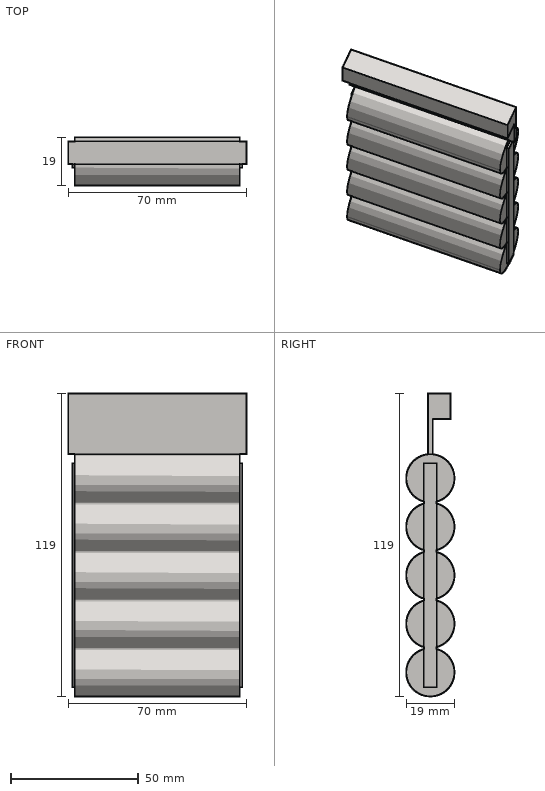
import cadquery as cq

roller_count = 5
roller_diameter = 19.0
roller_length = 64.8
stack_height = roller_count * roller_diameter

strap_width = 5.0
strap_height = 88.0
strap_thickness = 1.0

total_height = 119.0
bracket_length = 70.0
web_thickness = 2.0
head_depth = 8.9
head_height = 10.1


def make_roller(index):
    """One roller, counted from the bottom of the stack."""
    center_z = (index + 0.5) * roller_diameter
    return (
        cq.Workplane("YZ", origin=(-roller_length / 2, 0, 0))
        .center(0, center_z)
        .circle(roller_diameter / 2)
        .extrude(roller_length)
    )


def make_strap(side):
    """Flat strap on the roller ends; side is -1 for the -X end and 1 for the +X end."""
    center_x = side * (roller_length + strap_thickness) / 2
    strap = cq.Workplane("XY").box(strap_thickness, strap_width, strap_height)
    return strap.translate((center_x, 0, stack_height / 2))


def make_roller_pack():
    """Touching rollers joined into one body by the two end straps."""
    pack = make_strap(-1).union(make_strap(1))
    for index in range(roller_count):
        pack = pack.union(make_roller(index))
    return pack


def make_bracket():
    """Thin upright web with a thicker head that extends toward +Y."""
    front_y = -web_thickness / 2
    web_back_y = front_y + web_thickness
    head_back_y = front_y + head_depth
    head_bottom_z = total_height - head_height
    return (
        cq.Workplane("YZ", origin=(-bracket_length / 2, 0, 0))
        .moveTo(front_y, stack_height)
        .lineTo(web_back_y, stack_height)
        .lineTo(web_back_y, head_bottom_z)
        .lineTo(head_back_y, head_bottom_z)
        .lineTo(head_back_y, total_height)
        .lineTo(front_y, total_height)
        .close()
        .extrude(bracket_length)
    )


roller_pack = make_roller_pack()
bracket = make_bracket()

result = cq.Compound.makeCompound([roller_pack.solids().val(), bracket.val()])